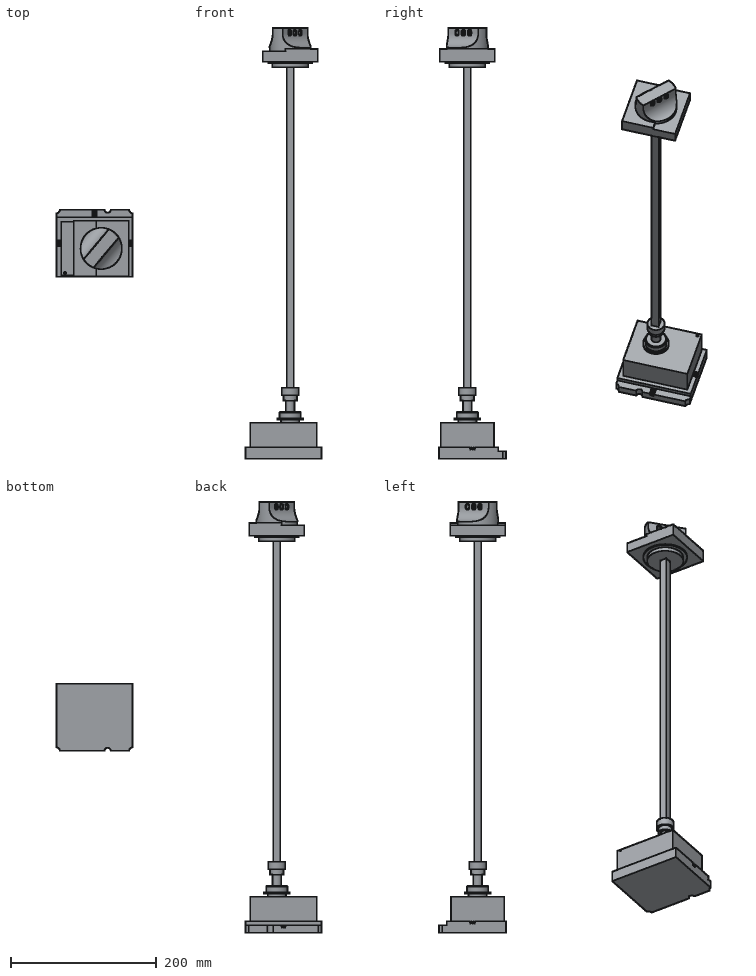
import cadquery as cq
import math

total_height = 590.5

plate_min_x = -61.5
plate_max_x = 43.0
plate_min_y = -39.0
plate_max_y = 53.0
plate_top = 16.0
ledge_top = 10.5
ledge_depth = 10.5
corner_notch_radius = 5.0
edge_notch_radius = 4.0
edge_notch_x = 9.0
serration_count = 3
serration_depth = 3.5
side_serration_width = 8.0
ledge_serration_width = 6.5
housing_min_x = -55.0
housing_max_x = 36.5
housing_half_depth = 36.5
housing_top = 49.5
dimple_radius = 1.5
dimple_depth = 1.0
dimple_x = -49.5
dimple_y = -33.5

neck_radius = 12.7
flange_radius = 18.0
flange_bottom = 53.0
flange_top = 55.5
bushing_radius = 15.0
bushing_top = 64.5
bushing_chamfer = 1.0

stem_radius = 6.2
shoulder_radius = 9.5
shoulder_bottom = 80.0
socket_radius = 12.0
socket_bottom = 87.0
socket_top = 97.5

shaft_side = 10.0

escutcheon_side = 75.5
escutcheon_bottom = 544.0
escutcheon_low_top = 559.0
escutcheon_high_top = 562.0
escutcheon_step_x = -6.5
seal_radius = 30.0
seal_bottom = 542.0
boss_radius = 25.0
boss_bottom = 536.5

knob_radius = 28.5
knob_angle = 50.0
grip_half_width = 9.0
scoop_floor = 563.5
scoop_radius = 19.5
window_count = 3
window_spacing = 11.0
window_width = 6.5
window_bottom = 580.0
window_top = 588.0
grip_wall = 2.0


def cylinder(radius, bottom, top):
    """A cylinder on the Z axis between two heights."""
    return cq.Workplane("XY").workplane(offset=bottom).circle(radius).extrude(top - bottom)


def block(min_x, max_x, min_y, max_y, bottom, top):
    """A box given by its limits along each axis."""
    return cq.Workplane("XY").box(
        max_x - min_x, max_y - min_y, top - bottom, centered=False
    ).translate((min_x, min_y, bottom))


def serration(plane, width, top, length):
    """V-shaped cutters side by side, running along the normal of the plane on both sides of it."""
    pitch = width / serration_count
    points = [(-width / 2, top)]
    for index in range(serration_count):
        left = index * pitch - width / 2
        points.append((left + pitch / 2, top - serration_depth))
        points.append((left + pitch, top))
    outline = points + [(width / 2, top + serration_depth), (-width / 2, top + serration_depth)]
    return cq.Workplane(plane).polyline(outline).close().extrude(length / 2, both=True)


def make_switch():
    middle_x = (plate_min_x + plate_max_x) / 2
    middle_y = (plate_min_y + plate_max_y) / 2
    ledge_start = plate_max_y - ledge_depth
    plate = block(plate_min_x, plate_max_x, plate_min_y, ledge_start, 0, plate_top)
    ledge = block(plate_min_x, plate_max_x, ledge_start, plate_max_y, 0, ledge_top)

    for x, radius in (
        (plate_min_x, corner_notch_radius),
        (edge_notch_x, edge_notch_radius),
        (plate_max_x, corner_notch_radius),
    ):
        ledge = ledge.cut(cylinder(radius, 0, ledge_top).translate((x, plate_max_y, 0)))

    ledge_marks = serration("XZ", ledge_serration_width, ledge_top, 2 * ledge_depth)
    side_marks = serration("YZ", side_serration_width, plate_top, plate_max_x - plate_min_x)
    ledge = ledge.cut(ledge_marks.translate((middle_x, plate_max_y, 0)))
    plate = plate.cut(side_marks.translate((middle_x, middle_y, 0)))

    housing = block(
        housing_min_x, housing_max_x, -housing_half_depth, housing_half_depth, 0, housing_top
    )
    dimple = cylinder(dimple_radius, housing_top - dimple_depth, housing_top)
    housing = housing.cut(dimple.translate((dimple_x, dimple_y, 0)))
    return plate.union(ledge).union(housing)


def make_bushing():
    collar = cylinder(bushing_radius, flange_top, bushing_top).faces(">Z").chamfer(bushing_chamfer)
    return (
        cylinder(neck_radius, housing_top, flange_bottom)
        .union(cylinder(flange_radius, flange_bottom, flange_top))
        .union(collar)
        .cut(cylinder(stem_radius, housing_top, bushing_top))
    )


def make_coupling():
    return (
        cylinder(stem_radius, housing_top, shoulder_bottom)
        .union(cylinder(shoulder_radius, shoulder_bottom, socket_bottom))
        .union(cylinder(socket_radius, socket_bottom, socket_top))
        .cut(make_shaft())
    )


def make_shaft():
    """The shaft stands in the coupling socket and ends under the knob."""
    half = shaft_side / 2
    return block(-half, half, -half, half, socket_bottom, escutcheon_low_top)


def make_escutcheon():
    half = escutcheon_side / 2
    low_part = block(-half, half, -half, half, escutcheon_bottom, escutcheon_low_top)
    high_part = block(escutcheon_step_x, half, -half, half, escutcheon_low_top, escutcheon_high_top)
    knob_recess = cylinder(knob_radius, escutcheon_low_top, escutcheon_high_top)
    return (
        low_part.union(high_part.cut(knob_recess))
        .union(cylinder(seal_radius, seal_bottom, escutcheon_bottom))
        .union(cylinder(boss_radius, boss_bottom, seal_bottom))
        .cut(make_shaft())
    )


def grip_scoop():
    """A cutter along X that leaves a flat grip face rounding into the scoop floor."""
    arc_mid = scoop_radius * (1 - math.sqrt(0.5))
    outer = grip_half_width + scoop_radius
    far = 2 * knob_radius
    return (
        cq.Workplane("YZ")
        .moveTo(grip_half_width, total_height)
        .lineTo(grip_half_width, scoop_floor + scoop_radius)
        .threePointArc((grip_half_width + arc_mid, scoop_floor + arc_mid), (outer, scoop_floor))
        .lineTo(far, scoop_floor)
        .lineTo(far, total_height)
        .close()
        .extrude(knob_radius, both=True)
    )


def grip_windows():
    """A cutter of rounded windows through both grip walls and the cavity that joins them."""
    height = window_top - window_bottom
    middle = (window_top + window_bottom) / 2
    windows = (
        cq.Workplane("XZ")
        .center(0, middle)
        .rarray(window_spacing, 6, window_count, 1)
        .slot2D(height, window_width, 90)
        .extrude(knob_radius, both=True)
    )
    half_length = ((window_count - 1) * window_spacing + window_width) / 2
    half_cavity = grip_half_width - grip_wall
    cavity = block(
        -half_length, half_length, -half_cavity, half_cavity, window_bottom, window_top
    )
    return windows.union(cavity)


def make_knob():
    """The knob is shaped with its grip along X and then turned to its angle."""
    scoop = grip_scoop()
    knob = cylinder(knob_radius, escutcheon_low_top, total_height)
    knob = knob.cut(scoop).cut(scoop.mirror("XZ"))
    return knob.cut(grip_windows()).rotate((0, 0, 0), (0, 0, 1), knob_angle)


switch = make_switch()
bushing = make_bushing()
coupling = make_coupling()
shaft = make_shaft()
escutcheon = make_escutcheon()
knob = make_knob()

result = cq.Compound.makeCompound(
    [switch.val(), bushing.val(), coupling.val(), shaft.val(), escutcheon.val(), knob.val()]
)